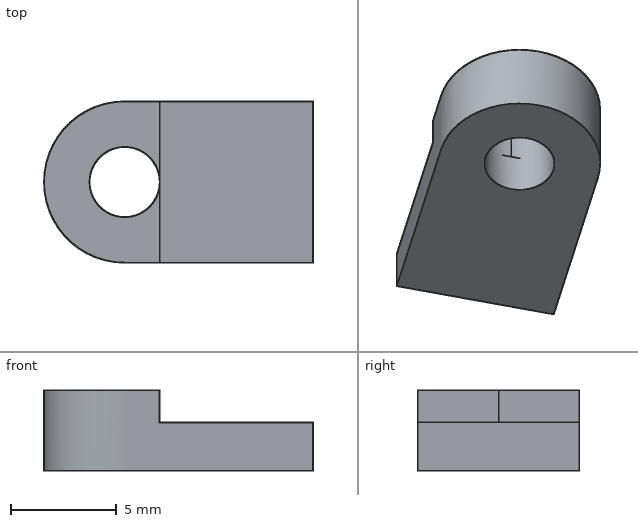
import cadquery as cq

length = 12.7
width = 7.62
head_height = 3.81
tab_thickness = 2.286
hole_diameter = 3.3

head_radius = width / 2
tab_end_x = length - head_radius
step_x = hole_diameter / 2


def make_body():
    """Full-height block with a straight end and a semicircular end around the hole axis."""
    return (
        cq.Workplane("XY")
        .moveTo(0, -head_radius)
        .lineTo(tab_end_x, -head_radius)
        .lineTo(tab_end_x, head_radius)
        .lineTo(0, head_radius)
        .threePointArc((-head_radius, 0), (0, -head_radius))
        .close()
        .extrude(head_height)
    )


def make_step_cut():
    """Material removed above the thin rectangular tab."""
    return (
        cq.Workplane("XY")
        .box(tab_end_x - step_x, width, head_height - tab_thickness, centered=(False, True, False))
        .translate((step_x, 0, tab_thickness))
    )


def make_hole():
    """Through hole concentric with the rounded head."""
    return cq.Workplane("XY").circle(hole_diameter / 2).extrude(head_height)


result = make_body().cut(make_step_cut()).cut(make_hole())